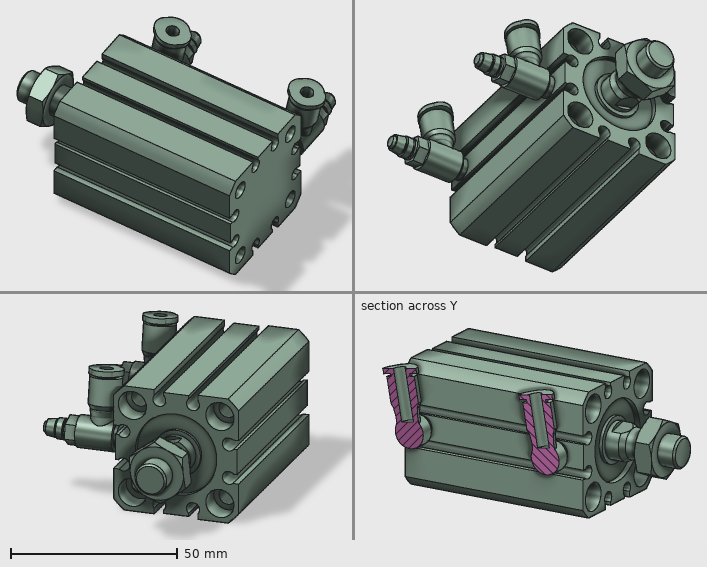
import cadquery as cq
import math


LENGTH = 62.7
WIDTH = 40.0
CORNER_RADIUS = 26.0
LAND_HALF_WIDTH = 19.45
SLOT_OFFSET = 5.4
SLOT_HEIGHT = 16.85
SLOT_BORE_DIAMETER = 4.1
SLOT_MOUTH_INNER = 4.0
SLOT_MOUTH_OUTER = 7.0
BOLT_OFFSET = 14.0
BOLT_HOLE_DIAMETER = 5.5
COUNTERBORE_DIAMETER = 9.0
COUNTERBORE_DEPTH = 7.0
RECESS_DIAMETER = 26.0
RECESS_DEPTH = 1.9
BOSS_DIAMETER = 15.0
BOSS_HEIGHT = 1.1

ROD_DIAMETER = 12.0
THREAD_DIAMETER = 10.0
TIP_X = -23.1
TIP_CHAMFER = 0.6
CONE_START_X = -5.8
CONE_END_X = -3.9
FLAT_END_X = -0.7
FLAT_WIDTH = 10.0
FLAT_TILT = 14.0

NUT_WIDTH = 17.0
NUT_THICKNESS = 6.0
NUT_BACK_X = -11.2
NUT_TILT = 6.0
NUT_CHAMFER_ANGLE = 25.0

FITTING_X = [9.1, 57.1]
FITTING_TILT = 10.0
BODY_DIAMETER = 10.0
STUB_DIAMETER = 7.0
COLLAR_DIAMETER = 7.2
COLLAR_START_Y = 21.15
BODY_START_Y = 22.2
HEX_START_Y = 34.0
HEX_END_Y = 37.5
HEX_WIDTH = 8.0
SCREW_DIAMETER = 6.5
GROOVE_DIAMETER = 5.0
SCREW_GROOVE_Y = 38.2
BAND_START_Y = 38.7
CONE_GROOVE_Y = 40.7
CONE_START_Y = 41.2
CONE_END_Y = 44.2
CONE_BASE_DIAMETER = 5.9
CONE_TOP_DIAMETER = 5.0
END_Y = 45.1
END_DIAMETER = 3.3
END_BASE_DIAMETER = 4.0

ELBOW_Y = 26.7
SLEEVE_DIAMETER = 10.0
SHOULDER_DIAMETER = 8.6
NECK_DIAMETER = 8.0
NECK_TOP = 5.65
SHOULDER_START = 7.35
SHOULDER_END = 7.8
SLEEVE_START = 9.2
SLEEVE_END = 17.65
BUTTON_START = 18.5
BUTTON_END = 20.2
BUTTON_STEM_DIAMETER = 7.0
BUTTON_DIAMETER = 10.7
BUTTON_CORNER_Y = 3.2
BUTTON_LENGTH = 12.0
TUBE_DIAMETER = 4.0
TUBE_DEPTH = 16.7


def bar(diameter, start_x, end_x):
    """A cylinder about the X axis."""
    return cq.Workplane("YZ", origin=(start_x, 0, 0)).circle(diameter / 2).extrude(end_x - start_x)


def slot_pair():
    """The two keyhole slots and the sunk land between them, on the +Z face."""
    half = WIDTH / 2
    land_depth = half - LAND_HALF_WIDTH
    cut = (
        cq.Workplane("YZ")
        .center(0, half - land_depth / 2)
        .rect(2 * SLOT_MOUTH_OUTER, land_depth)
        .extrude(LENGTH)
    )
    for side in (-1, 1):
        bore = (
            cq.Workplane("YZ")
            .center(side * SLOT_OFFSET, SLOT_HEIGHT)
            .circle(SLOT_BORE_DIAMETER / 2)
            .extrude(LENGTH)
        )
        mouth = (
            cq.Workplane("YZ")
            .center(side * (SLOT_MOUTH_INNER + SLOT_MOUTH_OUTER) / 2, (SLOT_HEIGHT + half) / 2)
            .rect(SLOT_MOUTH_OUTER - SLOT_MOUTH_INNER, half - SLOT_HEIGHT)
            .extrude(LENGTH)
        )
        cut = cut.union(bore).union(mouth)
    return cut


def make_housing():
    block = cq.Workplane("YZ").rect(WIDTH, WIDTH).extrude(LENGTH)
    block = block.intersect(bar(2 * CORNER_RADIUS, 0, LENGTH))
    slots = slot_pair()
    for quarter in range(4):
        block = block.cut(slots.rotate((0, 0, 0), (1, 0, 0), 90 * quarter))
    for y in (-BOLT_OFFSET, BOLT_OFFSET):
        for z in (-BOLT_OFFSET, BOLT_OFFSET):
            block = block.cut(bar(BOLT_HOLE_DIAMETER, 0, LENGTH).translate((0, y, z)))
            block = block.cut(bar(COUNTERBORE_DIAMETER, 0, COUNTERBORE_DEPTH).translate((0, y, z)))
    block = block.cut(bar(RECESS_DIAMETER, 0, RECESS_DEPTH))
    boss = bar(BOSS_DIAMETER, RECESS_DEPTH - BOSS_HEIGHT, RECESS_DEPTH)
    rod_hole = bar(ROD_DIAMETER, 0, RECESS_DEPTH)
    return block.union(boss).cut(rod_hole)


def make_rod():
    thread_radius = THREAD_DIAMETER / 2
    rod_radius = ROD_DIAMETER / 2
    outline = [
        (TIP_X, 0),
        (TIP_X, thread_radius - TIP_CHAMFER),
        (TIP_X + TIP_CHAMFER, thread_radius),
        (CONE_START_X, thread_radius),
        (CONE_END_X, rod_radius),
        (RECESS_DEPTH, rod_radius),
        (RECESS_DEPTH, 0),
    ]
    rod = cq.Workplane("XY").polyline(outline).close().revolve(360, (0, 0, 0), (1, 0, 0))
    flats_length = FLAT_END_X - CONE_START_X
    for side in (-1, 1):
        flat = (
            cq.Workplane("XY")
            .box(flats_length, ROD_DIAMETER, ROD_DIAMETER)
            .translate((CONE_START_X + flats_length / 2, 0, side * (FLAT_WIDTH + ROD_DIAMETER) / 2))
            .rotate((0, 0, 0), (1, 0, 0), -FLAT_TILT)
        )
        rod = rod.cut(flat)
    return rod


def make_nut():
    corner_diameter = NUT_WIDTH / math.cos(math.radians(30))
    chamfer_radial = (corner_diameter - NUT_WIDTH) / 2
    chamfer_axial = chamfer_radial * math.tan(math.radians(NUT_CHAMFER_ANGLE))
    front_x = NUT_BACK_X - NUT_THICKNESS
    nut = (
        cq.Workplane("YZ", origin=(front_x, 0, 0))
        .transformed(rotate=(0, 0, 90 - NUT_TILT))
        .polygon(6, corner_diameter)
        .extrude(NUT_THICKNESS)
    )
    envelope = [
        (front_x, 0),
        (front_x, NUT_WIDTH / 2),
        (front_x + chamfer_axial, corner_diameter / 2),
        (NUT_BACK_X - chamfer_axial, corner_diameter / 2),
        (NUT_BACK_X, NUT_WIDTH / 2),
        (NUT_BACK_X, 0),
    ]
    chamfered = cq.Workplane("XY").polyline(envelope).close().revolve(360, (0, 0, 0), (1, 0, 0))
    return nut.intersect(chamfered).cut(bar(THREAD_DIAMETER, front_x, NUT_BACK_X))


def turned_along_y(steps):
    """A solid of revolution about Y from (diameter, y) pairs."""
    radii = [(diameter / 2, y) for diameter, y in steps]
    outline = [(0, steps[0][1])] + radii + [(0, steps[-1][1])]
    return cq.Workplane("XY").polyline(outline).close().revolve(360, (0, 0, 0), (0, 1, 0))


def fitting_body():
    """Threaded stub, round body, hexagon and throttle screw in a row along Y."""
    stub = turned_along_y([
        (STUB_DIAMETER, LAND_HALF_WIDTH),
        (STUB_DIAMETER, COLLAR_START_Y),
        (COLLAR_DIAMETER, COLLAR_START_Y),
        (COLLAR_DIAMETER, BODY_START_Y),
        (BODY_DIAMETER, BODY_START_Y),
        (BODY_DIAMETER, HEX_START_Y),
    ])
    hexagon = (
        cq.Workplane("XZ", origin=(0, HEX_START_Y, 0))
        .transformed(rotate=(0, 0, 90))
        .polygon(6, HEX_WIDTH / math.cos(math.radians(30)))
        .extrude(HEX_START_Y - HEX_END_Y)
    )
    screw = turned_along_y([
        (SCREW_DIAMETER, HEX_END_Y),
        (SCREW_DIAMETER, SCREW_GROOVE_Y),
        (GROOVE_DIAMETER, SCREW_GROOVE_Y),
        (GROOVE_DIAMETER, BAND_START_Y),
        (SCREW_DIAMETER, BAND_START_Y),
        (SCREW_DIAMETER, CONE_GROOVE_Y),
        (GROOVE_DIAMETER, CONE_GROOVE_Y),
        (GROOVE_DIAMETER, CONE_START_Y),
        (CONE_BASE_DIAMETER, CONE_START_Y),
        (CONE_TOP_DIAMETER, CONE_END_Y),
        (END_BASE_DIAMETER, CONE_END_Y),
        (END_DIAMETER, END_Y),
    ])
    return stub.union(hexagon).union(screw)


def release_button():
    """Oval button: a disc that bulges out to a rounded point at each end."""
    radius = BUTTON_DIAMETER / 2
    corner_x = math.sqrt(radius**2 - BUTTON_CORNER_Y**2)
    corner_y = BUTTON_CORNER_Y
    return (
        cq.Workplane("XY", origin=(0, ELBOW_Y, BUTTON_START))
        .moveTo(corner_x, corner_y)
        .threePointArc((0, radius), (-corner_x, corner_y))
        .threePointArc((-BUTTON_LENGTH / 2, 0), (-corner_x, -corner_y))
        .threePointArc((0, -radius), (corner_x, -corner_y))
        .threePointArc((BUTTON_LENGTH / 2, 0), (corner_x, corner_y))
        .close()
        .extrude(BUTTON_END - BUTTON_START)
    )


def elbow():
    """Push-in tube socket standing on the round body."""
    outline = [
        (0, 0),
        (NECK_DIAMETER / 2, 0),
        (NECK_DIAMETER / 2, NECK_TOP),
        (SHOULDER_DIAMETER / 2, SHOULDER_START),
        (SHOULDER_DIAMETER / 2, SHOULDER_END),
        (SLEEVE_DIAMETER / 2, SLEEVE_START),
        (SLEEVE_DIAMETER / 2, SLEEVE_END),
        (BUTTON_STEM_DIAMETER / 2, SLEEVE_END),
        (BUTTON_STEM_DIAMETER / 2, BUTTON_START),
        (0, BUTTON_START),
    ]
    socket = cq.Workplane("XZ").polyline(outline).close().revolve(360, (0, 0, 0), (0, 1, 0))
    return socket.translate((0, ELBOW_Y, 0)).union(release_button())


def make_fitting(x):
    tube_hole = (
        cq.Workplane("XY", origin=(0, ELBOW_Y, BUTTON_END))
        .circle(TUBE_DIAMETER / 2)
        .extrude(-TUBE_DEPTH)
    )
    fitting = fitting_body().union(elbow()).cut(tube_hole)
    return fitting.rotate((0, 0, 0), (0, 1, 0), FITTING_TILT).translate((x, 0, 0))


housing = make_housing()
rod = make_rod()
nut = make_nut()
fittings = [make_fitting(x) for x in FITTING_X]

result = cq.Compound.makeCompound(
    [housing.val(), rod.val(), nut.val()] + [fitting.val() for fitting in fittings]
)